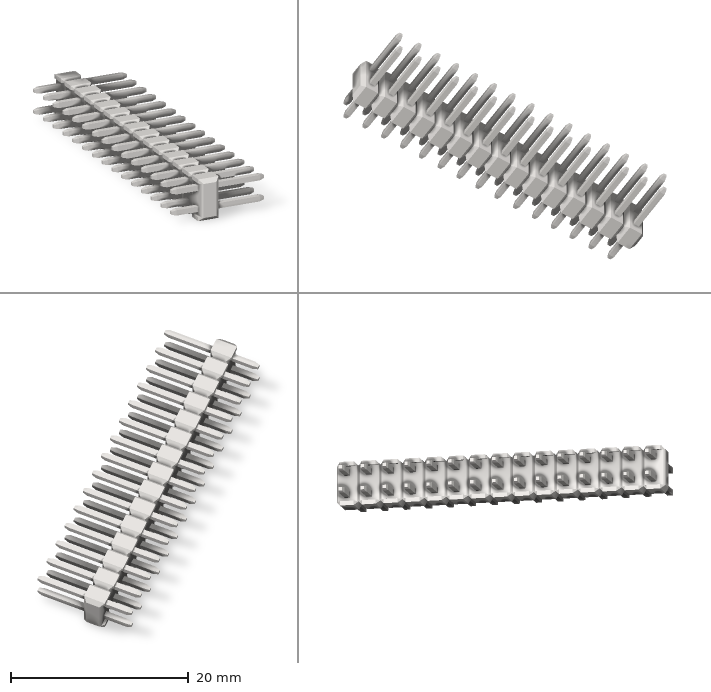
import cadquery as cq

header_length = 38.1
positions = 15
pitch = header_length / positions
row_offsets = (-pitch / 2, pitch / 2)

block_height = 5.03
block_depth = pitch
block_top_width = 1.6
block_chamfer = (pitch - block_top_width) / 2
channel_depth = 0.3
channel_lip = 0.5

pin_width = 0.65
tip_width = 0.4
tip_length = 0.57
front_projection = 3.0
pin_length = 11.55

block_front = -block_depth / 2
pin_front = block_front - front_projection
pin_back = pin_front + pin_length


def make_block():
    """Insulator block, chamfered around both side faces, with a channel across its front face."""
    block = cq.Workplane("XY").box(pitch, block_depth, block_height)
    block = block.edges("|Y or |Z").chamfer(block_chamfer)
    channel = (
        cq.Workplane("XY")
        .box(pitch, channel_depth, block_height - 2 * channel_lip)
        .translate((0, block_front + channel_depth / 2, 0))
    )
    return block.cut(channel)


def make_tip(start_y, length):
    """Pyramid frustum tapering from the pin section at start_y; the sign of length sets its direction."""
    return (
        cq.Workplane("XZ", origin=(0, start_y, 0))
        .rect(pin_width, pin_width)
        .workplane(offset=-length)
        .rect(tip_width, tip_width)
        .loft(ruled=True)
    )


def make_pin():
    """Square pin along Y with a tapered tip at each end."""
    shank_length = pin_length - 2 * tip_length
    shank = (
        cq.Workplane("XY")
        .box(pin_width, shank_length, pin_width)
        .translate((0, (pin_front + pin_back) / 2, 0))
    )
    front_tip = make_tip(pin_front + tip_length, -tip_length)
    back_tip = make_tip(pin_back - tip_length, tip_length)
    return shank.union(front_tip).union(back_tip)


def make_unit():
    """One header position: a block with an upper and a lower pin."""
    unit = make_block()
    pin = make_pin()
    for row_z in row_offsets:
        unit = unit.union(pin.translate((0, 0, row_z)))
    return unit


unit = make_unit()
first_x = -(header_length - pitch) / 2
result = unit.translate((first_x, 0, 0))
for index in range(1, positions):
    result = result.union(unit.translate((first_x + index * pitch, 0, 0)))